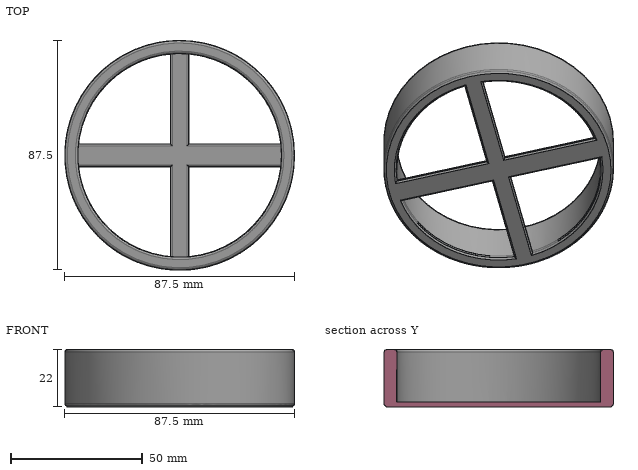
import cadquery as cq

outer_diameter = 87.5
inner_diameter = 77.5
ring_height = 22.0
edge_radius = 1.0
base_chamfer = 1.0

spoke_width_x = 8.75
spoke_width_y = 7.1
spoke_thickness = 2.0
spoke_edge_radius = 0.8
spoke_base_chamfer = 0.6

outer_radius = outer_diameter / 2
inner_radius = inner_diameter / 2
spoke_length = outer_radius + inner_radius


def make_ring():
    """Ring with a rounded rim and chamfered base edges, blended into the walls."""
    ring = cq.Workplane("XY").circle(outer_radius).circle(inner_radius).extrude(ring_height)
    ring = ring.faces(">Z").edges().fillet(edge_radius)
    ring = ring.faces("<Z").edges().chamfer(base_chamfer)
    chamfer_corners = cq.selectors.BoxSelector(
        (-outer_diameter, -outer_diameter, base_chamfer / 2),
        (outer_diameter, outer_diameter, base_chamfer * 1.5),
        boundingbox=True,
    )
    return ring.edges(chamfer_corners).fillet(edge_radius)


def make_spokes():
    """Two crossing bars with rounded top edges and chamfered base edges."""
    centered = (True, True, False)
    along_x = cq.Workplane("XY").box(spoke_length, spoke_width_x, spoke_thickness, centered=centered)
    along_y = cq.Workplane("XY").box(spoke_width_y, spoke_length, spoke_thickness, centered=centered)
    cross = along_x.union(along_y)
    cross = cross.faces(">Z").edges().fillet(spoke_edge_radius)
    return cross.faces("<Z").edges().chamfer(spoke_base_chamfer)


result = make_ring().union(make_spokes())